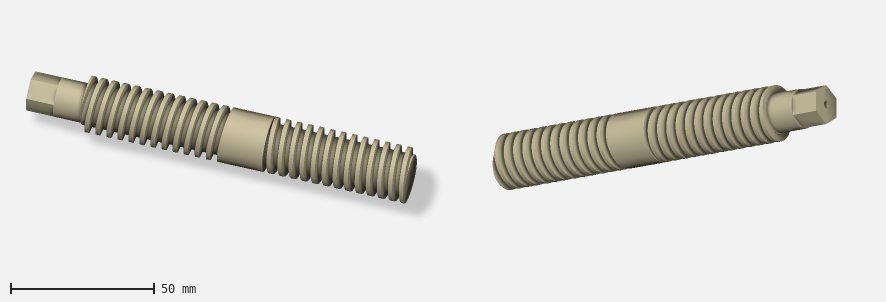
import cadquery as cq
import math

screw_diameter = 19.85
root_diameter = 15.29
neck_diameter = 14.07
center_hole_diameter = 2.7
center_hole_depth = 10.0
hex_length = 10.0
neck_length = 10.25
thread_length = 51.25
collar_length = 15.0

pitch = 4.0
crest_width = 0.3707 * pitch
flank_angle = 14.5

left_hand_groove_offset = 1.75
right_hand_groove_offset = -0.5

neck_start = hex_length
left_thread_start = neck_start + neck_length
right_thread_start = left_thread_start + thread_length + collar_length

screw_radius = screw_diameter / 2
root_radius = root_diameter / 2
cutter_overlap = 0.5
trim_diameter = screw_diameter + 4 * cutter_overlap
hex_corners = 6


def cylinder(start, length, diameter):
    return cq.Workplane("YZ", origin=(start, 0, 0)).circle(diameter / 2).extrude(length)


def groove_cutter(first_center, length, left_handed):
    """Trapezoidal groove around X, centered at X = first_center on the +Z side."""
    flank_slope = math.tan(math.radians(flank_angle))
    outer_radius = screw_radius + cutter_overlap
    half_mouth = (pitch - crest_width) / 2
    half_floor = half_mouth - (screw_radius - root_radius) * flank_slope
    half_outer = half_mouth + cutter_overlap * flank_slope

    helix = cq.Wire.makeHelix(pitch, length, root_radius, lefthand=left_handed)
    groove = (
        cq.Workplane("XZ")
        .moveTo(root_radius, -half_floor)
        .lineTo(outer_radius, -half_outer)
        .lineTo(outer_radius, half_outer)
        .lineTo(root_radius, half_floor)
        .close()
        .sweep(helix, isFrenet=True)
    )
    return (
        groove.rotate((0, 0, 0), (0, 1, 0), 90)
        .rotate((0, 0, 0), (1, 0, 0), 180)
        .translate((first_center, 0, 0))
    )


def thread_groove(start, groove_offset, left_handed):
    """Groove of one thread, cut off square at both ends of the threaded length."""
    first_center = start + groove_offset - pitch
    run_length = (math.ceil(thread_length / pitch) + 2) * pitch
    trim = cylinder(start, thread_length, trim_diameter)
    return groove_cutter(first_center, run_length, left_handed).intersect(trim)


def threaded_bar():
    """Bar with a left-hand thread, a plain collar and a right-hand thread."""
    bar_length = 2 * thread_length + collar_length
    bar = cylinder(left_thread_start, bar_length, screw_diameter)
    bar = bar.cut(thread_groove(left_thread_start, left_hand_groove_offset, True))
    return bar.cut(thread_groove(right_thread_start, right_hand_groove_offset, False))


def hex_drive():
    """Hexagon with two corners on the Z axis and a blind center hole in its end."""
    drive = (
        cq.Workplane("YZ")
        .transformed(rotate=(0, 0, 90))
        .polygon(hex_corners, neck_diameter)
        .extrude(hex_length)
    )
    return drive.cut(cylinder(0, center_hole_depth, center_hole_diameter))


shank = hex_drive().union(cylinder(neck_start, neck_length, neck_diameter))
result = shank.union(threaded_bar())